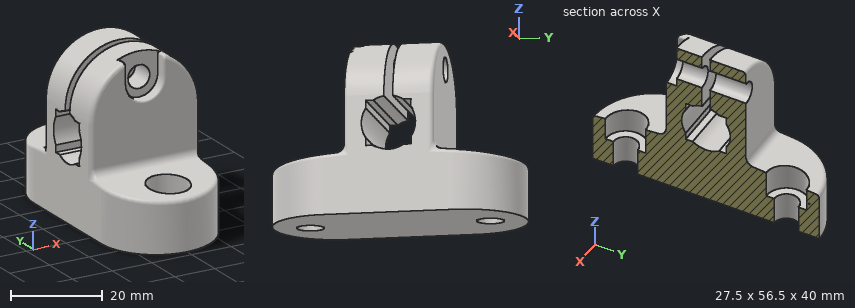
import cadquery as cq
import math

length = 56.5
width = 27.5
end_radius = width / 2
wing_end_height = 12.45
wing_slope = 5.0

height = 40.0
block_depth = 20.0
block_half = block_depth / 2
arch_center_z = height - end_radius

bore_diameter = 12.0
bore_z = 20.0
relief_side = 10.0
slit_width = 2.0

screw_diameter = 5.5
screw_z = 34.0
seat_width = 9.5
seat_depth = 2.7
seat_rim_radius = 0.5

mount_spacing = 40.0
mount_diameter = 6.0
counterbore_diameter = 10.0
counterbore_floor_z = 7.0

edge_radius = 1.0
root_radius = 2.0
pick_margin = 0.05


def wing_height(y):
    """Height of the sloping wing top at distance y from the middle."""
    return wing_end_height + (length / 2 - y) * math.tan(math.radians(wing_slope))


def make_base():
    plan = cq.Workplane("XY").slot2D(length, width, 90).extrude(height)
    profile = (
        cq.Workplane("YZ")
        .moveTo(-length / 2, 0)
        .lineTo(length / 2, 0)
        .lineTo(length / 2, wing_end_height)
        .lineTo(block_half, wing_height(block_half))
        .lineTo(-block_half, wing_height(block_half))
        .lineTo(-length / 2, wing_end_height)
        .close()
        .extrude(end_radius, both=True)
    )
    return plan.intersect(profile)


def make_block():
    return (
        cq.Workplane("XZ")
        .moveTo(-end_radius, 0)
        .lineTo(end_radius, 0)
        .lineTo(end_radius, arch_center_z)
        .threePointArc((0, height), (-end_radius, arch_center_z))
        .close()
        .extrude(block_half, both=True)
    )


def is_rim(edge):
    """True for the rims of the block faces and of the wing tops."""
    box = edge.BoundingBox()
    above_root = box.zmax > wing_height(block_half) + pick_margin
    on_block_face = box.ylen < pick_margin and above_root
    on_wing_top = box.ylen > pick_margin and box.zmin > wing_end_height - pick_margin and not above_root
    return on_block_face or on_wing_top


def round_edges(body):
    """Round the rims of the block and wings, then fill the roots between them."""
    rims = [edge for edge in body.edges().vals() if is_rim(edge)]
    body = body.newObject(rims).fillet(edge_radius)
    root_z = wing_height(block_half)
    root_box = cq.selectors.BoxSelector(
        (-pick_margin, -block_half - pick_margin, root_z - pick_margin),
        (pick_margin, block_half + pick_margin, root_z + pick_margin),
    )
    return body.edges(root_box).fillet(root_radius)


def cut_bore(body):
    bore = cq.Workplane("YZ").center(0, bore_z).circle(bore_diameter / 2).extrude(width, both=True)
    relief = cq.Workplane("YZ").center(0, bore_z).rect(relief_side, relief_side).extrude(width, both=True)
    slit = cq.Workplane("XY").workplane(offset=bore_z).rect(width, slit_width).extrude(height)
    return body.cut(bore).cut(relief).cut(slit)


def is_seat_rim(edge):
    """True for the edges around the mouth of the screw seat, floor excluded."""
    middle = edge.Center()
    box = edge.BoundingBox()
    beside_seat = abs(middle.x) < seat_width / 2 + pick_margin and middle.z > screw_z - seat_width / 2
    on_face = box.ylen < pick_margin and abs(middle.y + block_half) < pick_margin
    on_arch = box.xlen < pick_margin and box.ylen > pick_margin and middle.z > screw_z + screw_diameter / 2
    return beside_seat and (on_face or on_arch)


def cut_screw(body):
    hole = cq.Workplane("XZ").center(0, screw_z).circle(screw_diameter / 2).extrude(length, both=True)
    seat_plane = cq.Workplane("XZ", origin=(0, seat_depth - block_half, screw_z))
    seat = seat_plane.circle(seat_width / 2).extrude(seat_depth)
    seat_opening = seat_plane.center(0, end_radius / 2).rect(seat_width, end_radius).extrude(seat_depth)
    body = body.cut(hole).cut(seat).cut(seat_opening)
    seat_rim = [edge for edge in body.edges().vals() if is_seat_rim(edge)]
    return body.newObject(seat_rim).fillet(seat_rim_radius)


def cut_mounting_holes(body):
    for y in (-mount_spacing / 2, mount_spacing / 2):
        hole = cq.Workplane("XY").center(0, y).circle(mount_diameter / 2).extrude(height)
        counterbore = (
            cq.Workplane("XY", origin=(0, y, counterbore_floor_z))
            .circle(counterbore_diameter / 2)
            .extrude(height)
        )
        body = body.cut(hole).cut(counterbore)
    return body


body = round_edges(make_base().union(make_block()))
body = cut_bore(body)
body = cut_screw(body)
result = cut_mounting_holes(body)